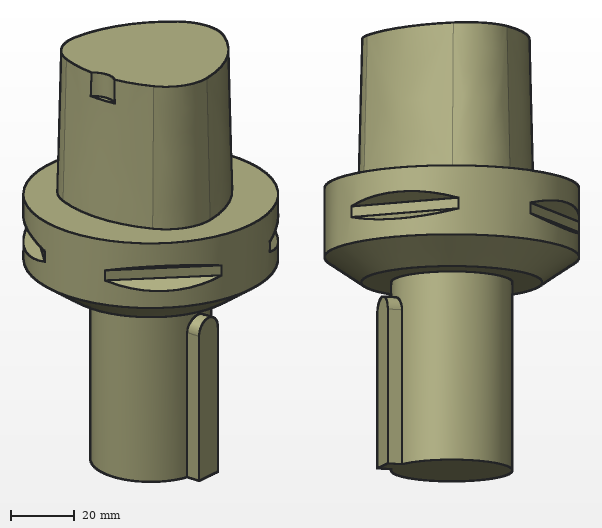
import cadquery as cq
import math

SHANK_DIAMETER = 38.1
SHANK_LENGTH = 60.0
FLANGE_DIAMETER = 80.0
FLANGE_CHAMFER_HEIGHT = 8.0
FLANGE_RIM_HEIGHT = 22.0
FLANGE_BOTTOM_DIAMETER = 56.8
TAPER_LENGTH = 48.0

FLANGE_RIM_Z = SHANK_LENGTH + FLANGE_CHAMFER_HEIGHT
FLANGE_TOP_Z = FLANGE_RIM_Z + FLANGE_RIM_HEIGHT
TOP_Z = FLANGE_TOP_Z + TAPER_LENGTH

LOBE_COUNT = 3
LOBE_FIRST_ANGLE = 90.0
LOBE_REACH = 29.5
FLANK_REACH = 25.4
LOBE_RADIUS = 16.5
TAPER_RATIO = 1 / 20
TAPER_ANGLE = math.degrees(math.atan(TAPER_RATIO / 2))

NOTCH_RADIUS = 7.0
NOTCH_INNER_REACH = 22.2
NOTCH_DEPTH = 8.0

GROOVE_COUNT = 4
GROOVE_FIRST_ANGLE = 45.0
GROOVE_Z = 78.0
GROOVE_FLOOR_REACH = 35.5
GROOVE_FLOOR_HEIGHT = 3.4
GROOVE_WALL_ANGLE = 30.0

KEY_WIDTH = 9.525
KEY_REACH = 23.2
KEY_LENGTH = 54.0


def polar(radius, angle):
    """Point at a distance from the axis and an angle in degrees."""
    return (radius * math.cos(math.radians(angle)), radius * math.sin(math.radians(angle)))


def make_turned_body():
    """Shank and flange as one revolved profile."""
    return (
        cq.Workplane("XZ")
        .moveTo(0, 0)
        .lineTo(SHANK_DIAMETER / 2, 0)
        .lineTo(SHANK_DIAMETER / 2, SHANK_LENGTH)
        .lineTo(FLANGE_BOTTOM_DIAMETER / 2, SHANK_LENGTH)
        .lineTo(FLANGE_DIAMETER / 2, FLANGE_RIM_Z)
        .lineTo(FLANGE_DIAMETER / 2, FLANGE_TOP_Z)
        .lineTo(0, FLANGE_TOP_Z)
        .close()
        .revolve(360, (0, 0, 0), (0, 1, 0))
    )


def joint_position():
    """Polar angle from a lobe tip to the joint, and the distance of the joint from the axis.

    Lobe and flank arcs are tangent, so the joint lies on the line through both arc centres.
    """
    lobe_center = LOBE_REACH - LOBE_RADIUS
    inset = FLANK_REACH - LOBE_RADIUS
    flank_center = (lobe_center**2 - inset**2) / (2 * inset - lobe_center)
    flank_x, flank_y = polar(-flank_center, 180 / LOBE_COUNT)
    normal = math.atan2(-flank_y, lobe_center - flank_x)
    joint_x = lobe_center + LOBE_RADIUS * math.cos(normal)
    joint_y = LOBE_RADIUS * math.sin(normal)
    return math.degrees(math.atan2(joint_y, joint_x)), math.hypot(joint_x, joint_y)


def make_polygon_taper():
    """Three-lobed taper with one lobe pointing to +Y, narrowing upwards."""
    joint_angle, joint_reach = joint_position()
    pitch = 360 / LOBE_COUNT
    start = polar(joint_reach, LOBE_FIRST_ANGLE - joint_angle)
    outline = cq.Workplane("XY").workplane(offset=FLANGE_TOP_Z).moveTo(*start)
    for index in range(LOBE_COUNT):
        tip = LOBE_FIRST_ANGLE + index * pitch
        outline = outline.threePointArc(polar(LOBE_REACH, tip), polar(joint_reach, tip + joint_angle))
        outline = outline.threePointArc(
            polar(FLANK_REACH, tip + pitch / 2), polar(joint_reach, tip + pitch - joint_angle)
        )
    return outline.close().extrude(TAPER_LENGTH, taper=TAPER_ANGLE)


def make_notch():
    """Upright cylinder that cuts the orientation notch."""
    return (
        cq.Workplane("XY")
        .workplane(offset=TOP_Z - NOTCH_DEPTH)
        .center(0, -(NOTCH_INNER_REACH + NOTCH_RADIUS))
        .circle(NOTCH_RADIUS)
        .extrude(NOTCH_DEPTH)
    )


def make_groove(angle):
    """Straight trapezoidal groove cutter, tangential to the rim at the given angle."""
    outer_reach = FLANGE_DIAMETER / 2
    floor_half = GROOVE_FLOOR_HEIGHT / 2
    mouth_half = floor_half + (outer_reach - GROOVE_FLOOR_REACH) * math.tan(math.radians(GROOVE_WALL_ANGLE))
    return (
        cq.Workplane("XZ")
        .moveTo(GROOVE_FLOOR_REACH, GROOVE_Z - floor_half)
        .lineTo(outer_reach, GROOVE_Z - mouth_half)
        .lineTo(outer_reach, GROOVE_Z + mouth_half)
        .lineTo(GROOVE_FLOOR_REACH, GROOVE_Z + floor_half)
        .close()
        .extrude(FLANGE_DIAMETER / 2, both=True)
        .rotate((0, 0, 0), (0, 0, 1), angle)
    )


def make_key():
    """Key with a full round upper end, running down to the end of the shank."""
    half_width = KEY_WIDTH / 2
    round_start_z = KEY_LENGTH - half_width
    return (
        cq.Workplane("YZ")
        .moveTo(-half_width, 0)
        .lineTo(half_width, 0)
        .lineTo(half_width, round_start_z)
        .threePointArc((0, KEY_LENGTH), (-half_width, round_start_z))
        .close()
        .extrude(KEY_REACH)
    )


body = make_turned_body()
for groove_index in range(GROOVE_COUNT):
    body = body.cut(make_groove(GROOVE_FIRST_ANGLE + groove_index * 360 / GROOVE_COUNT))

result = body.union(make_key()).union(make_polygon_taper().cut(make_notch()))